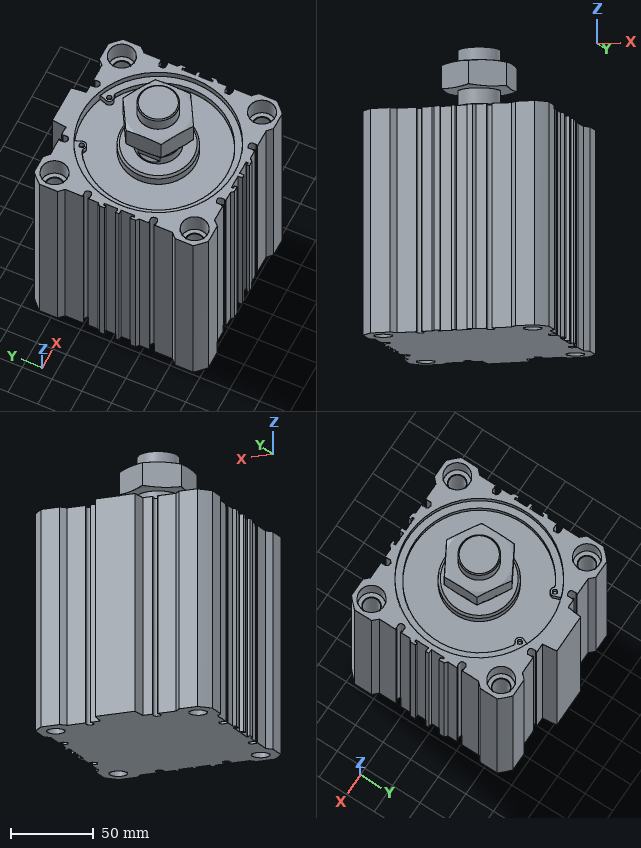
import cadquery as cq
import math

body_width = 117.0
body_height = 138.0
total_height = 181.5
half_width = body_width / 2
corner_round_radius = 78.0
pad_end = 39.4
pad_foot = 36.0
side_face = 55.2

rail_face = 57.0
rail_floor = 54.0
hook_foot = 13.8
hook_outer = 12.2
hook_lip = 8.5
hook_root = 10.2
rib_half_width = 1.18

port_face = 123.5 - half_width
port_half_width = 13.0
port_foot_half_width = 14.2

slot_offset = 22.1
slot_mouth = 3.3
slot_width = 4.4
slot_lip = 0.9
slot_floor = 50.1
slot_floor_radius = 1.72

bolt_offset = 47.0
bolt_diameter = 11.0
bolt_counterbore_diameter = 17.5
bolt_counterbore_depth = 13.6
bolt_hole_bevel = 0.4

recess_diameter = 102.0
recess_depth = 8.3
boss_diameter = 50.0
boss_top = body_height - 0.9
boss_chamfer = 1.5

ring_inner_diameter = 92.5
ring_thickness = 4.0
lug_x = 19.2
lug_y = 42.1
lug_radius = 2.9
lug_hole_diameter = 3.0
ring_end_x = 18.2
lug_foot_x = 24.7
lug_foot_y = 40.1

rod_diameter = 30.0
thread_diameter = 26.0
thread_tip_diameter = 24.3
rod_shoulder_top = 146.1
flat_width = 26.1
flat_bottom = body_height + 2.0

nut_across_flats = 41.0
nut_height = 16.0
nut_bottom = 155.7
nut_bevel_angle = 15

recess_floor = body_height - recess_depth


def turned(x, y, quarter_turns):
    """Rotate a point about the axis by quarter turns."""
    for _ in range(quarter_turns):
        x, y = -y, x
    return x, y


def corner_pad():
    """Outline of the front-left corner, from the left side to the front side."""
    return [
        (-side_face, -pad_foot),
        (-half_width, -pad_end),
        (-half_width, -half_width),
        (-pad_end, -half_width),
        (-pad_foot, -side_face),
    ]


def rails():
    """Outline of the front side between its sensor slots: two hooks with a rib between them."""
    left_half = [
        (-hook_foot, -side_face),
        (-hook_outer, -rail_face),
        (-hook_lip, -rail_face),
        (-hook_lip, -side_face),
        (-hook_root, -side_face),
        (-hook_root, -rail_floor),
        (-rib_half_width, -rail_floor),
        (-rib_half_width, -rail_face),
    ]
    return left_half + [(-x, y) for x, y in reversed(left_half)]


def port_block():
    """Outline of the port block, given on the front side like the rails."""
    return [
        (-port_foot_half_width, -side_face),
        (-port_half_width, -port_face),
        (port_half_width, -port_face),
        (port_foot_half_width, -side_face),
    ]


def extrusion():
    """Plain housing: a corner pad and a side feature for each of front, right, back and left."""
    side_features = [rails(), rails(), port_block(), rails()]
    points = []
    for quarter_turns, side_feature in enumerate(side_features):
        points += [turned(x, y, quarter_turns) for x, y in corner_pad() + side_feature]
    square_cornered = cq.Workplane("XY").polyline(points).close().extrude(body_height)
    corner_round = cq.Workplane("XY").circle(corner_round_radius).extrude(body_height)
    return square_cornered.intersect(corner_round)


def sensor_slots():
    """Undercut slots along the housing, two on each side."""
    shoulder = side_face - slot_lip
    chamber = (
        cq.Workplane("XY")
        .center(slot_offset, -(shoulder + slot_floor) / 2)
        .rect(slot_width, shoulder - slot_floor)
        .extrude(body_height)
        .edges("|Z and >Y")
        .fillet(slot_floor_radius)
    )
    mouth = (
        cq.Workplane("XY")
        .center(slot_offset, -(side_face + shoulder) / 2)
        .rect(slot_mouth, slot_lip)
        .extrude(body_height)
    )
    right_slot = chamber.union(mouth)
    pair = right_slot.union(right_slot.mirror("YZ"))
    slots = pair
    for quarter_turns in range(1, 4):
        slots = slots.union(pair.rotate((0, 0, 0), (0, 0, 1), 90 * quarter_turns))
    return slots


def retaining_ring():
    """Open ring on the recess floor, with a drilled lug at each end."""
    ring = (
        cq.Workplane("XY", origin=(0, 0, recess_floor))
        .circle(recess_diameter / 2)
        .circle(ring_inner_diameter / 2)
        .extrude(ring_thickness)
    )
    gap_back = recess_diameter / 2
    ring_end_y = math.sqrt((recess_diameter / 2) ** 2 - ring_end_x**2)
    lug_inner_x = lug_x - lug_radius
    gap = (
        cq.Workplane("XY", origin=(0, 0, recess_floor))
        .polyline([
            (-lug_inner_x, lug_y), (lug_inner_x, lug_y), (ring_end_x, ring_end_y),
            (ring_end_x, gap_back), (-ring_end_x, gap_back), (-ring_end_x, ring_end_y),
        ])
        .close()
        .extrude(ring_thickness)
    )
    ring = ring.cut(gap)
    right_web = (
        cq.Workplane("XY", origin=(0, 0, recess_floor))
        .polyline([
            (lug_foot_x, lug_foot_y), (lug_x, lug_foot_y), (lug_inner_x, lug_y),
            (ring_end_x, ring_end_y), (lug_foot_x, lug_y),
        ])
        .close()
        .extrude(ring_thickness)
    )
    lug_centers = [(-lug_x, lug_y), (lug_x, lug_y)]
    lugs = (
        cq.Workplane("XY", origin=(0, 0, recess_floor))
        .pushPoints(lug_centers)
        .circle(lug_radius)
        .extrude(ring_thickness)
    )
    holes = (
        cq.Workplane("XY", origin=(0, 0, recess_floor))
        .pushPoints(lug_centers)
        .circle(lug_hole_diameter / 2)
        .extrude(ring_thickness)
    )
    return ring.union(right_web).union(right_web.mirror("YZ")).union(lugs).cut(holes)


def bolt_holes():
    """Counterbored through holes in the corners, bevelled at the counterbore floor."""
    hole_radius = bolt_diameter / 2
    bevel_radius = hole_radius + bolt_hole_bevel
    counterbore_radius = bolt_counterbore_diameter / 2
    counterbore_floor = body_height - bolt_counterbore_depth
    hole = (
        cq.Workplane("XZ")
        .polyline([
            (0, 0),
            (hole_radius, 0),
            (hole_radius, counterbore_floor - bolt_hole_bevel),
            (bevel_radius, counterbore_floor),
            (counterbore_radius, counterbore_floor),
            (counterbore_radius, body_height),
            (0, body_height),
        ])
        .close()
        .revolve(360, (0, 0, 0), (0, 1, 0))
    )
    return (
        cq.Workplane("XY")
        .rect(2 * bolt_offset, 2 * bolt_offset, forConstruction=True)
        .vertices()
        .eachpoint(lambda place: hole.val().moved(place))
    )


def make_housing():
    """Extruded housing with its recess, guide boss, retaining ring and rod hole."""
    recess = (
        cq.Workplane("XY", origin=(0, 0, recess_floor))
        .circle(recess_diameter / 2)
        .extrude(recess_depth)
    )
    boss = (
        cq.Workplane("XY", origin=(0, 0, recess_floor))
        .circle(boss_diameter / 2)
        .extrude(boss_top - recess_floor)
        .faces(">Z")
        .chamfer(boss_chamfer)
    )
    rod_hole = (
        cq.Workplane("XY", origin=(0, 0, recess_floor))
        .circle(rod_diameter / 2)
        .extrude(recess_depth)
    )
    return (
        extrusion()
        .cut(sensor_slots())
        .cut(bolt_holes())
        .cut(recess)
        .union(boss)
        .union(retaining_ring())
        .cut(rod_hole)
    )


def make_rod():
    """Stepped rod with a chamfered shoulder and tip, and two wrench flats."""
    rod_radius = rod_diameter / 2
    thread_radius = thread_diameter / 2
    tip_radius = thread_tip_diameter / 2
    shoulder_chamfer = rod_radius - thread_radius
    tip_chamfer = thread_radius - tip_radius
    rod = (
        cq.Workplane("XZ")
        .polyline([
            (0, recess_floor),
            (rod_radius, recess_floor),
            (rod_radius, rod_shoulder_top - shoulder_chamfer),
            (thread_radius, rod_shoulder_top),
            (thread_radius, total_height - tip_chamfer),
            (tip_radius, total_height),
            (0, total_height),
        ])
        .close()
        .revolve(360, (0, 0, 0), (0, 1, 0))
    )
    flat = flat_width / 2
    flat_depth = rod_radius - flat
    right_flat = (
        cq.Workplane("XZ")
        .polyline([
            (flat, flat_bottom),
            (rod_radius, flat_bottom - flat_depth),
            (rod_radius, rod_shoulder_top),
            (flat, rod_shoulder_top),
        ])
        .close()
        .extrude(rod_radius, both=True)
    )
    return rod.cut(right_flat).cut(right_flat.mirror("YZ"))


def make_nut():
    """Hexagon nut with corners on the Y axis, its ends bevelled by cones."""
    corner_radius = nut_across_flats / 2 / math.cos(math.radians(30))
    flat_radius = nut_across_flats / 2
    bevel = (corner_radius - flat_radius) * math.tan(math.radians(nut_bevel_angle))
    hexagon = (
        cq.Workplane("XY")
        .polygon(6, 2 * corner_radius)
        .extrude(nut_height)
        .rotate((0, 0, 0), (0, 0, 1), 30)
    )
    bevelled_blank = (
        cq.Workplane("XZ")
        .polyline([
            (0, 0),
            (flat_radius, 0),
            (corner_radius, bevel),
            (corner_radius, nut_height - bevel),
            (flat_radius, nut_height),
            (0, nut_height),
        ])
        .close()
        .revolve(360, (0, 0, 0), (0, 1, 0))
    )
    bore = cq.Workplane("XY").circle(thread_diameter / 2).extrude(nut_height)
    return hexagon.intersect(bevelled_blank).cut(bore).translate((0, 0, nut_bottom))


housing = make_housing()
rod = make_rod()
nut = make_nut()

result = cq.Compound.makeCompound([housing.val(), rod.val(), nut.val()])